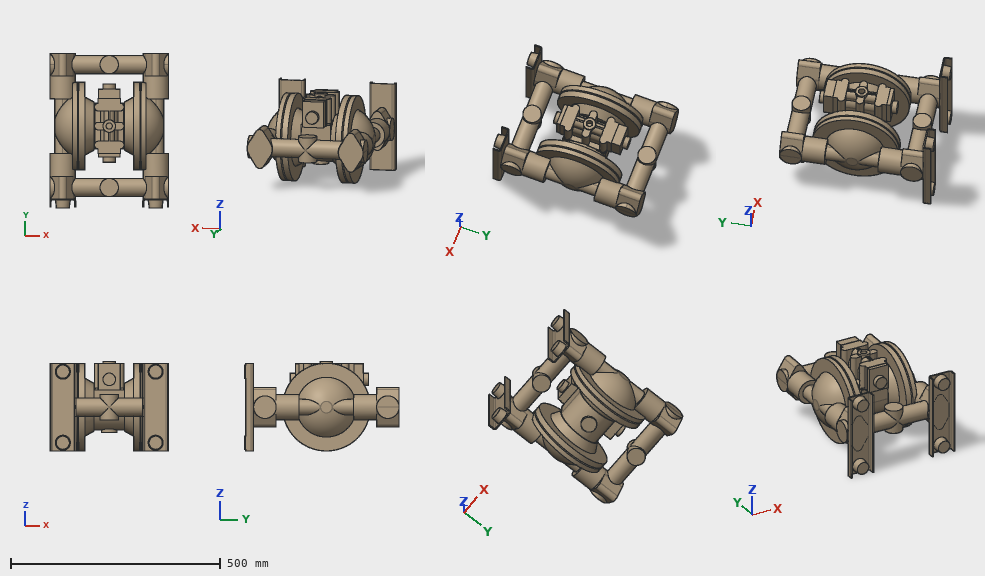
import math

import cadquery as cq


body_radius = 55.0
body_half_length = 36.25
cone_small_radius = 57.5
cone_large_radius = 70.0
inner_flange_start = 58.5
inner_flange_end = 73.0
outer_flange_start = 76.5
outer_flange_end = 88.0
flange_radius = 105.0
diaphragm_radius = 84.0
dome_sphere_radius = 80.3
dome_sphere_center = 51.5
dome_tip = 130.6

saddle_top = 41.3
drain_boss_radius = 19.0
drain_boss_bottom = -61.0

seat_half_width = 34.0
seat_half_length = 54.3
seat_edge_top = 45.2
seat_slope = math.radians(8)
valve_top = 105.0
valve_axis_height = 66.5
lobe_length = 70.6
lobe_width = 18.3
end_lobe_y = 45.3
block_half_width = 27.0
block_end = 65.5
cap_half_width = 25.75
cap_top = 104.0
rear_cap_end = 88.3
front_cap_end = 74.5
valve_boss_radius = 15.0
valve_boss_length = 12.5
spool_radius = 21.3
bridge_radius = 13.0
bridge_axis_height = 91.0
rib_half_width = 2.0
air_port_top = 109.5
air_port_hole_radius = 7.5
air_port_hole_depth = 20.0

sleeve_radius = 30.5
column_outer_x = 142.0
column_x = column_outer_x - sleeve_radius
sleeve_inner_y = 65.0
riser_radius = 19.0
manifold_y = 147.0
tee_half_length = 27.0
tee_end = manifold_y + tee_half_length
tee_apex = 47.4
tee_tip_radius = 11.0
tee_shoulder_height = 15.5
side_port_radius = tee_half_length
manifold_radius = 22.0
nipple_half_length = 30.5

foot_height = 2 * flange_radius
foot_width = 62.0
foot_center_x = column_outer_x - foot_width / 2
foot_depth = 19.5
foot_thickness = 3.0
foot_bend_radius = 6.0
stud_height = 85.0
stud_base_radius = 18.0
stud_tip_radius = 15.7
stud_tip_y = -196.3


def box(x0, x1, y0, y1, z0, z1):
    """Box between the given limits along X, Y and Z."""
    return cq.Workplane("XY").box(x1 - x0, y1 - y0, z1 - z0, centered=False).translate((x0, y0, z0))


def rod(start, direction, length, radius):
    """Solid cylinder from the start point along the given direction."""
    return cq.Workplane(cq.Solid.makeCylinder(radius, length, cq.Vector(*start), cq.Vector(*direction)))


def dome_radius(x):
    """Radius of the spherical dome at distance x from the middle plane."""
    return math.sqrt(dome_sphere_radius**2 - (x - dome_sphere_center) ** 2)


def chamber():
    """Cone, two clamped flanges and the truncated spherical dome on the +X side."""
    dome_middle = (outer_flange_end + dome_tip) / 2
    return (
        cq.Workplane("XY")
        .moveTo(body_half_length, 0)
        .lineTo(body_half_length, cone_small_radius)
        .lineTo(inner_flange_start, cone_large_radius)
        .lineTo(inner_flange_start, flange_radius)
        .lineTo(inner_flange_end, flange_radius)
        .lineTo(inner_flange_end, diaphragm_radius)
        .lineTo(outer_flange_start, diaphragm_radius)
        .lineTo(outer_flange_start, flange_radius)
        .lineTo(outer_flange_end, flange_radius)
        .lineTo(outer_flange_end, dome_radius(outer_flange_end))
        .threePointArc((dome_middle, dome_radius(dome_middle)), (dome_tip, dome_radius(dome_tip)))
        .lineTo(dome_tip, 0)
        .close()
        .revolve(360, (0, 0, 0), (1, 0, 0))
    )


def center_body():
    """U-shaped saddle that carries the valve, and the drain boss underneath."""
    saddle = (
        cq.Workplane("YZ", origin=(-body_half_length, 0, 0))
        .moveTo(-body_radius, saddle_top)
        .lineTo(-body_radius, 0)
        .threePointArc((0, -body_radius), (body_radius, 0))
        .lineTo(body_radius, saddle_top)
        .close()
        .extrude(2 * body_half_length)
    )
    drain = rod((0, 0, drain_boss_bottom), (0, 0, 1), -drain_boss_bottom, drain_boss_radius)
    return saddle.union(drain)


def valve_lobe(y):
    """Upright column with full-round ends, spanning the valve across X."""
    return (
        cq.Workplane("XY", origin=(0, y, saddle_top))
        .slot2D(lobe_length, lobe_width)
        .extrude(valve_top - saddle_top)
    )


def valve_end(side, cap_end):
    """Lobe, block, cap and round end boss at one end of the valve; side is +1 or -1 along Y."""
    block = box(-block_half_width, block_half_width, 0, block_end - end_lobe_y, saddle_top, valve_top)
    cap = box(-cap_half_width, cap_half_width, 0, cap_end - end_lobe_y, saddle_top, cap_top)
    boss_reach = cap_end + valve_boss_length - end_lobe_y
    boss = rod((0, 0, valve_axis_height), (0, 1, 0), boss_reach, valve_boss_radius)
    end = block.union(cap).union(boss).translate((0, end_lobe_y, 0))
    if side < 0:
        end = end.mirror("XZ")
    return end.union(valve_lobe(side * end_lobe_y))


def round_topped_bar(half_width, bottom, axis_z):
    """Bar along Y between the end lobes, with upright sides and a half-round top."""
    base = box(-half_width, half_width, -end_lobe_y, end_lobe_y, bottom, axis_z)
    return base.union(rod((0, -end_lobe_y, axis_z), (0, 1, 0), 2 * end_lobe_y, half_width))


def valve_core():
    """Spool housing between the end lobes, topped by a narrower bridge and a thin rib."""
    housing = round_topped_bar(spool_radius, saddle_top, valve_axis_height)
    bridge = round_topped_bar(bridge_radius, valve_axis_height, bridge_axis_height)
    rib = box(-rib_half_width, rib_half_width, -end_lobe_y, end_lobe_y, bridge_axis_height, valve_top)
    return housing.union(bridge).union(rib)


def valve_seat():
    """Plate under the valve whose top falls gently away to both sides."""
    ridge_top = seat_edge_top + seat_half_width * math.tan(seat_slope)
    return (
        cq.Workplane("XZ", origin=(0, seat_half_length, 0))
        .moveTo(-seat_half_width, saddle_top)
        .lineTo(-seat_half_width, seat_edge_top)
        .lineTo(0, ridge_top)
        .lineTo(seat_half_width, seat_edge_top)
        .lineTo(seat_half_width, saddle_top)
        .close()
        .extrude(2 * seat_half_length)
    )


def valve():
    """Complete valve: seat, core, three lobes, both ends and the drilled air port."""
    port_height = air_port_top - bridge_axis_height
    air_port = rod((0, 0, bridge_axis_height), (0, 0, 1), port_height, valve_boss_radius)
    air_hole = rod((0, 0, air_port_top), (0, 0, -1), air_port_hole_depth, air_port_hole_radius)
    return (
        valve_seat()
        .union(valve_core())
        .union(valve_lobe(0))
        .union(valve_end(1, rear_cap_end))
        .union(valve_end(-1, front_cap_end))
        .union(air_port)
        .cut(air_hole)
    )


def tee_body(y):
    """Tee with round flanks and a rounded peak above and below, extruded along Y."""
    shoulder_x = math.sqrt(sleeve_radius**2 - tee_shoulder_height**2)
    tip_center_z = tee_apex - tee_tip_radius
    rise = tip_center_z - tee_shoulder_height
    slant_angle = math.atan2(rise, -shoulder_x) - math.asin(tee_tip_radius / math.hypot(shoulder_x, rise))
    tangent_x = tee_tip_radius * math.sin(slant_angle)
    tangent_z = tip_center_z - tee_tip_radius * math.cos(slant_angle)
    return (
        cq.Workplane("XZ", origin=(0, y + tee_half_length, 0))
        .moveTo(shoulder_x, tee_shoulder_height)
        .lineTo(tangent_x, tangent_z)
        .threePointArc((0, tee_apex), (-tangent_x, tangent_z))
        .lineTo(-shoulder_x, tee_shoulder_height)
        .threePointArc((-sleeve_radius, 0), (-shoulder_x, -tee_shoulder_height))
        .lineTo(-tangent_x, -tangent_z)
        .threePointArc((0, -tee_apex), (tangent_x, -tangent_z))
        .lineTo(shoulder_x, -tee_shoulder_height)
        .threePointArc((sleeve_radius, 0), (shoulder_x, tee_shoulder_height))
        .close()
        .extrude(2 * tee_half_length)
    )


def column():
    """Riser along Y past the +X dome, with a sleeve and a tee at each end."""
    sleeve_length = manifold_y - sleeve_inner_y
    side = rod((column_x, -manifold_y, 0), (0, 1, 0), 2 * manifold_y, riser_radius)
    for y in (-manifold_y, manifold_y):
        inward = -math.copysign(1, y)
        sleeve = rod((column_x, y, 0), (0, inward, 0), sleeve_length, sleeve_radius)
        port = rod((column_x, y, 0), (1, 0, 0), column_outer_x - column_x, side_port_radius)
        side = side.union(tee_body(y).translate((column_x, 0, 0))).union(sleeve).union(port)
    return side


def manifold(y):
    """Cross pipe between the columns with a vertical nipple through its middle."""
    pipe = rod((-column_x, y, 0), (1, 0, 0), 2 * column_x, manifold_radius)
    nipple = rod((0, y, -nipple_half_length), (0, 0, 1), 2 * nipple_half_length, manifold_radius)
    return pipe.union(nipple)


def foot():
    """Upright U-channel opening toward -Y, with two tapered studs on its web."""
    x0 = foot_center_x - foot_width / 2
    x1 = foot_center_x + foot_width / 2
    open_y = -tee_end - foot_depth
    web_y = -tee_end - foot_thickness
    half_height = foot_height / 2
    outside = box(x0, x1, open_y, -tee_end, -half_height, half_height)
    outside = outside.edges("|Z and >Y").fillet(foot_bend_radius)
    inside = box(x0 + foot_thickness, x1 - foot_thickness, open_y, web_y, -half_height, half_height)
    inside = inside.edges("|Z and >Y").fillet(foot_bend_radius - foot_thickness)
    channel = outside.cut(inside)
    for z in (-stud_height, stud_height):
        stud = cq.Solid.makeCone(
            stud_base_radius,
            stud_tip_radius,
            web_y - stud_tip_y,
            cq.Vector(foot_center_x, web_y, z),
            cq.Vector(0, -1, 0),
        )
        channel = channel.union(cq.Workplane(stud))
    return channel


half = chamber().union(column()).union(foot())
result = half.union(half.mirror("YZ")).union(center_body()).union(valve())
for manifold_side in (-manifold_y, manifold_y):
    result = result.union(manifold(manifold_side))